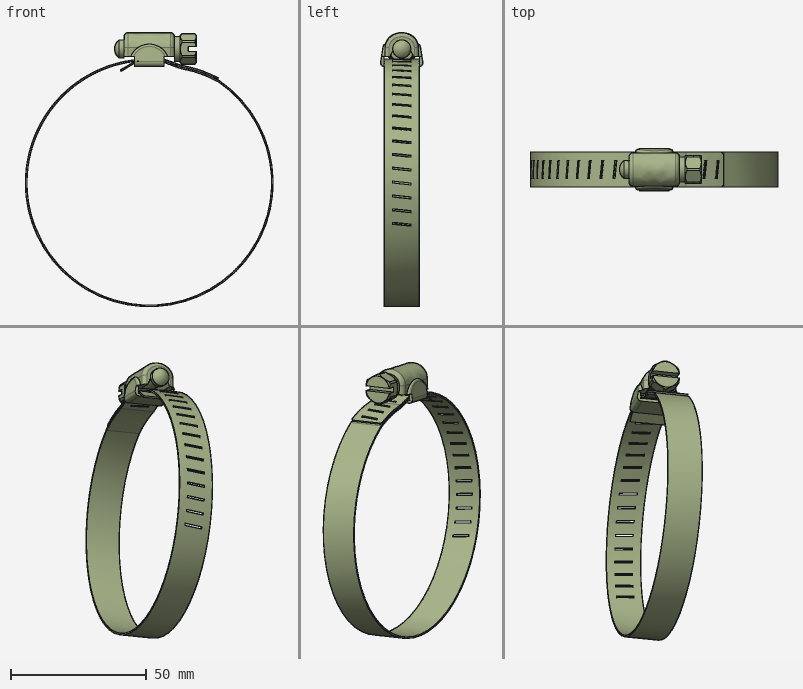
import cadquery as cq
import math


clip_length = 10.9

band_radius = 45.6
band_thickness = 0.6
band_width = 13.0
layer_gap = 0.05
lap_join_angle = 34.4
lap_end_angle = 28.9
lap_start_angle = 9.9
tail_angle = 28.0
tail_corner_radius = 0.9
bend_x = 5.2
tab_bend = (-clip_length / 2, 44.3)
tab_end = (-10.5, 41.2)

slot_length = 6.7
slot_width = 0.7
slot_skew = 0.7
slot_depth = 0.9
first_slot_angle = -109.6
ring_slot_count = 16
ring_slot_pitch = 6.5
first_lap_slot_angle = -6.3
lap_slot_count = 7
lap_slot_pitch = 6.1

screw_z = 49.2
shaft_radius = 2.6
tip_radius = 3.3
tip_start_x = -11.1
tip_end_x = -12.8
collar_radius = 4.6
head_start_x = 11.4
head_end_x = 17.3
head_across_flats = 10.2
head_corner_radius = 5.6
head_chamfer = 0.6
drive_slot_width = 1.8
drive_slot_depth = 2.9

barrel_start_x = -9.3
barrel_end_x = 9.3
barrel_half_width = 6.2
barrel_bottom_z = 46.4
barrel_shoulder_z = 49.8
barrel_top_z = 55.3
barrel_end_fillet = 1.5
mouth_top_half_width = 3.3
mouth_bottom_half_width = 4.3
mouth_top_z = 48.5
clip_bottom_z = 42.8
clip_floor_z = 43.9
clip_half_width = 7.8
clip_lean = 0.16
clip_fold_z = 44.7
clip_fold_half_width = 5.9
clip_fold_mid = (7.5, 43.3)
cheek_top_z = 51.0
cheek_half_length = 6.9
cheek_fillet = 1.0

band_mid_radius = band_radius - band_thickness / 2
layer_pitch = band_thickness + layer_gap
tail_radius = band_mid_radius + layer_pitch


def polar(radius, angle, centre=(0, 0)):
    """Point in XZ at an angle from +Z towards +X, about a centre."""
    turn = math.radians(angle)
    return (centre[0] + radius * math.sin(turn), centre[1] + radius * math.cos(turn))


lap_join = polar(band_mid_radius, lap_join_angle)
lap_centre = polar(-band_mid_radius, lap_end_angle, lap_join)


def band_slot(angle, layer_radius):
    """Skewed cutter for one slot, through one layer of the band."""
    half_skew = slot_skew / 2
    half_width = slot_width / 2
    half_length = slot_length / 2
    return (
        cq.Workplane("XY")
        .moveTo(-half_skew - half_width, -half_length)
        .lineTo(-half_skew + half_width, -half_length)
        .lineTo(half_skew + half_width, half_length)
        .lineTo(half_skew - half_width, half_length)
        .close()
        .extrude(slot_depth / 2, both=True)
        .translate((0, 0, layer_radius))
        .rotate((0, 0, 0), (0, 1, 0), angle)
    )


def tail_distance(angle):
    """Distance from the ring centre to the mid-line of the tail, at an angle about the ring centre."""
    turn = math.radians(angle)
    along = lap_centre[0] * math.sin(turn) + lap_centre[1] * math.cos(turn)
    across = lap_centre[0] * math.cos(turn) - lap_centre[1] * math.sin(turn)
    return along + math.sqrt(tail_radius**2 - across**2)


def make_strip():
    """One strip from the tab, once round the ring and over itself to the free tail."""
    lap_middle_angle = (lap_start_angle + lap_end_angle) / 2
    tail_middle_angle = (lap_start_angle + tail_angle) / 2
    path = (
        cq.Workplane("XZ")
        .moveTo(*tab_end)
        .lineTo(*tab_bend)
        .lineTo(bend_x, band_mid_radius - layer_pitch)
        .lineTo(*polar(band_mid_radius, lap_start_angle, lap_centre))
        .threePointArc(polar(band_mid_radius, lap_middle_angle, lap_centre), lap_join)
        .threePointArc((0, -band_mid_radius), (0, band_mid_radius))
        .lineTo(bend_x, band_mid_radius)
        .lineTo(*polar(tail_radius, lap_start_angle, lap_centre))
        .threePointArc(
            polar(tail_radius, tail_middle_angle, lap_centre),
            polar(tail_radius, tail_angle, lap_centre),
        )
    )
    tab_direction = cq.Vector(tab_bend[0] - tab_end[0], 0, tab_bend[1] - tab_end[1])
    tab_plane = cq.Plane(origin=(tab_end[0], 0, tab_end[1]), xDir=(0, 1, 0), normal=tab_direction)
    return cq.Workplane(tab_plane).rect(band_width, band_thickness).sweep(path, transition="right")


def make_band():
    """Strip with a rounded tail and a row of slots along its outer layer."""
    tail_x, tail_z = polar(tail_radius, tail_angle, lap_centre)
    reach = band_thickness / 2
    tail_end = cq.selectors.BoxSelector(
        (tail_x - reach, -band_width, tail_z - reach), (tail_x + reach, band_width, tail_z + reach)
    )
    band = make_strip()
    band = band.edges(tail_end).edges("<Y or >Y").fillet(tail_corner_radius)
    for i in range(ring_slot_count):
        band = band.cut(band_slot(first_slot_angle + i * ring_slot_pitch, band_mid_radius))
    for i in range(lap_slot_count):
        angle = first_lap_slot_angle + i * lap_slot_pitch
        on_tail = polar(band_mid_radius, angle)[0] > bend_x
        layer_radius = tail_distance(angle) if on_tail else band_mid_radius
        band = band.cut(band_slot(angle, layer_radius))
    return band


def dome_mid_point():
    """Point half-way along the spherical arc of the tip, from the screw axis."""
    height = tip_start_x - tip_end_x
    sphere_radius = (tip_radius**2 + height**2) / (2 * height)
    half_angle = math.asin(tip_radius / sphere_radius) / 2
    return (
        tip_end_x + sphere_radius * (1 - math.cos(half_angle)),
        sphere_radius * math.sin(half_angle),
    )


def make_screw():
    """Domed tip, plain shaft, collar and hexagon head, in line along X."""
    profile = (
        cq.Workplane("XZ")
        .moveTo(tip_end_x, 0)
        .threePointArc(dome_mid_point(), (tip_start_x, tip_radius))
        .lineTo(barrel_start_x, tip_radius)
        .lineTo(barrel_start_x, shaft_radius)
        .lineTo(barrel_end_x, shaft_radius)
        .lineTo(barrel_end_x, collar_radius)
        .lineTo(head_start_x, collar_radius)
        .lineTo(head_start_x, 0)
        .close()
    )
    shank = profile.revolve(360, (0, 0, 0), (1, 0, 0))
    return shank.union(make_head()).translate((0, 0, screw_z))


def make_head():
    """Hexagon with turned-down corners and a screwdriver slot along Y."""
    length = head_end_x - head_start_x
    hexagon = (
        cq.Workplane("YZ", origin=(head_start_x, 0, 0))
        .polygon(6, head_across_flats, circumscribed=True)
        .extrude(length)
    )
    blank = (
        cq.Workplane("YZ", origin=(head_start_x, 0, 0))
        .circle(head_corner_radius)
        .extrude(length)
        .edges()
        .chamfer(head_chamfer)
    )
    drive_slot = cq.Workplane("XY").box(
        2 * drive_slot_depth, 2 * head_across_flats, drive_slot_width
    ).translate((head_end_x, 0, 0))
    return hexagon.intersect(blank).cut(drive_slot)


def make_barrel():
    """Arched block around the screw, with rounded ends."""
    return (
        cq.Workplane("YZ", origin=(barrel_start_x, 0, 0))
        .moveTo(-barrel_half_width, barrel_shoulder_z)
        .lineTo(-barrel_half_width, barrel_bottom_z)
        .lineTo(barrel_half_width, barrel_bottom_z)
        .lineTo(barrel_half_width, barrel_shoulder_z)
        .ellipseArc(barrel_half_width, barrel_top_z - barrel_shoulder_z, 0, 180)
        .close()
        .extrude(barrel_end_x - barrel_start_x)
        .faces("<X or >X")
        .edges("not <Z")
        .fillet(barrel_end_fillet)
    )


def clip_sides(profile, top_z, length):
    """Close a lower profile with the leaning clip sides, up to a height, and extrude it along X."""
    top_half_width = clip_half_width - clip_lean * (top_z - clip_fold_z)
    return (
        profile.lineTo(top_half_width, top_z)
        .lineTo(-top_half_width, top_z)
        .close()
        .extrude(length / 2, both=True)
    )


def make_cheeks():
    """Domed side flares of the clip, rising against the barrel."""
    fold_line = (
        cq.Workplane("YZ")
        .moveTo(-clip_half_width, clip_fold_z)
        .lineTo(clip_half_width, clip_fold_z)
    )
    sides = clip_sides(fold_line, cheek_top_z, 2 * cheek_half_length)
    dome = (
        cq.Workplane("XZ")
        .moveTo(-cheek_half_length, barrel_bottom_z)
        .threePointArc((0, cheek_top_z), (cheek_half_length, barrel_bottom_z))
        .close()
        .extrude(clip_half_width, both=True)
    )
    return sides.intersect(dome).faces("<Y or >Y").edges("not <Z").fillet(cheek_fillet)


def make_clip():
    """Channel that wraps under both layers of the band."""
    floor = (
        cq.Workplane("YZ")
        .moveTo(-clip_half_width, clip_fold_z)
        .threePointArc((-clip_fold_mid[0], clip_fold_mid[1]), (-clip_fold_half_width, clip_bottom_z))
        .lineTo(clip_fold_half_width, clip_bottom_z)
        .threePointArc(clip_fold_mid, (clip_half_width, clip_fold_z))
    )
    passage = cq.Workplane("XY").box(
        clip_length, band_width, barrel_bottom_z - clip_floor_z, centered=(True, True, False)
    ).translate((0, 0, clip_floor_z))
    return clip_sides(floor, barrel_bottom_z, clip_length).cut(passage)


def make_housing():
    """Barrel and clip in one piece, bored for the screw."""
    body = make_barrel().union(make_cheeks()).union(make_clip())
    length = barrel_end_x - barrel_start_x
    bore = (
        cq.Workplane("YZ", origin=(barrel_start_x, 0, screw_z)).circle(shaft_radius).extrude(length)
    )
    mouth = (
        cq.Workplane("YZ", origin=(barrel_start_x, 0, 0))
        .moveTo(-mouth_top_half_width, mouth_top_z)
        .lineTo(mouth_top_half_width, mouth_top_z)
        .lineTo(mouth_bottom_half_width, barrel_bottom_z)
        .lineTo(-mouth_bottom_half_width, barrel_bottom_z)
        .close()
        .extrude(length)
    )
    return body.cut(mouth).cut(bore)


band = make_band()
screw = make_screw()
housing = make_housing()
result = cq.Compound.makeCompound([band.val(), screw.val(), housing.val()])